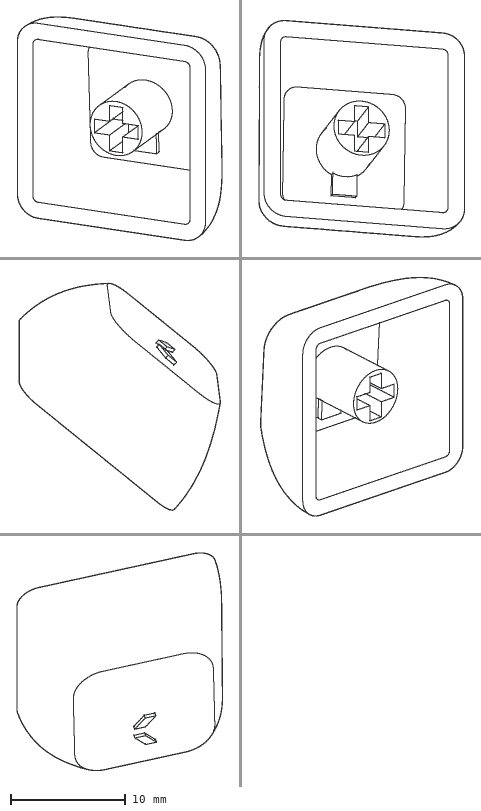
import cadquery as cq

tilt = 3.7
waist_tilt = tilt / 3
rim_size = 18.1
rim_corner_radius = 2.0
waist_size = 16.75
waist_corner_radius = 2.2
face_width = 12.75
face_length = 12.56
face_corner_radius = 2.7
face_height = 8.9
waist_height = face_height / 2

wall = 1.5
cavity_rim_size = rim_size - 2 * wall
cavity_rim_radius = 0.5
cavity_waist_size = 13.7
cavity_waist_radius = 0.75
ceiling_width = 10.95
ceiling_length = 10.9
ceiling_corner_radius = 1.2
ceiling_height = face_height - wall
cavity_waist_height = ceiling_height / 2

stem_diameter = 5.0
stem_recess = 1.0
cross_length = 4.2
cross_arm_width = 1.27
cross_depth = 4.0
cross_drop = 0.07

legend_offset = 2.15
block_width = 2.2
block_length = 4.0
block_protrusion = 0.5
block_embedding = 0.5
stroke_protrusion = 0.34
stroke_half_width = 0.98
stroke_inner_end = 0.56
stroke_outer_end = 1.69


def level(height, angle=0):
    """Plane facing +Y at a height up the cap: local x is +X and local y points to -Z."""
    plane = cq.Plane(origin=(0, height, 0), xDir=(1, 0, 0), normal=(0, 1, 0))
    return plane.rotated((angle, 0, 0))


def loft_through(*sections):
    """Smooth solid through (plane, width, length, corner radius) sections."""
    outlines = []
    for plane, width, length, radius in sections:
        outline = cq.Sketch().rect(width, length).vertices().fillet(radius)
        outlines.append(outline.moved(plane.location))
    return cq.Workplane().placeSketch(*outlines).loft()


def build_shell():
    outside = loft_through(
        (level(0), rim_size, rim_size, rim_corner_radius),
        (level(waist_height, waist_tilt), waist_size, waist_size, waist_corner_radius),
        (level(face_height, tilt), face_width, face_length, face_corner_radius),
    )
    cavity = loft_through(
        (level(0), cavity_rim_size, cavity_rim_size, cavity_rim_radius),
        (level(cavity_waist_height, waist_tilt), cavity_waist_size, cavity_waist_size, cavity_waist_radius),
        (level(ceiling_height, tilt), ceiling_width, ceiling_length, ceiling_corner_radius),
    )
    return outside.cut(cavity)


def build_stem():
    stem_plane = level(stem_recess)
    stem_length = ceiling_height + wall / 2 - stem_recess
    stem = cq.Workplane(stem_plane).circle(stem_diameter / 2).extrude(stem_length)
    socket_start = cq.Workplane(stem_plane).center(0, cross_drop)
    for arm_size in ((cross_length, cross_arm_width), (cross_arm_width, cross_length)):
        stem = stem.cut(socket_start.rect(*arm_size).extrude(cross_depth))
    return stem


def build_legend():
    block_start = cq.Workplane(level(ceiling_height, tilt)).workplane(offset=-block_protrusion)
    legend = (
        block_start.center(0, legend_offset)
        .rect(block_width, block_length)
        .extrude(block_protrusion + block_embedding)
    )
    for side in (-1, 1):
        stroke = (
            cq.Workplane(level(face_height, tilt))
            .workplane(offset=stroke_protrusion)
            .center(0, legend_offset)
            .polyline([
                (-stroke_half_width, side * stroke_outer_end),
                (0, side * stroke_outer_end),
                (stroke_half_width, side * stroke_inner_end),
                (0, side * stroke_inner_end),
            ])
            .close()
            .extrude(-(wall + stroke_protrusion))
        )
        legend = legend.union(stroke)
    return legend


legend = build_legend()
keycap = build_shell().union(build_stem()).cut(legend)

result = cq.Compound.makeCompound([keycap.solids().val(), legend.solids().val()])